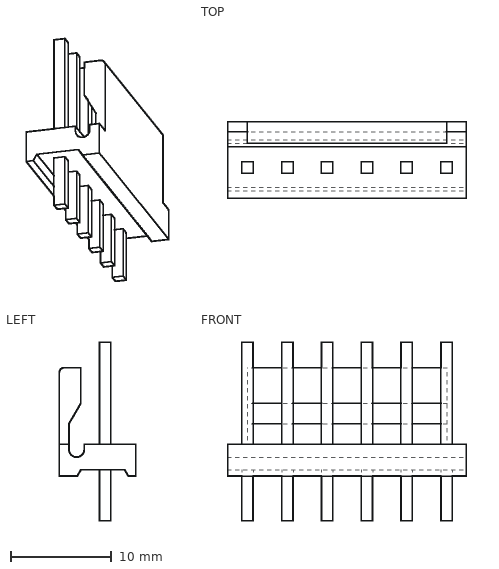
import cadquery as cq

PIN_COUNT = 6
PIN_PITCH = 3.9617
PIN_SIDE = 1.143
PIN_ABOVE_BASE = 10.16
PIN_BELOW_BASE = 4.445

BASE_LENGTH = PIN_COUNT * PIN_PITCH
BASE_DEPTH = 7.62
BASE_HEIGHT = 3.175
PINS_TO_BACK = 4.572
BACK_Y = PINS_TO_BACK
FRONT_Y = BACK_Y - BASE_DEPTH

RECESS_HEIGHT = 0.635
BACK_FOOT_WIDTH = 1.8
FRONT_FOOT_WIDTH = 0.75
FOOT_SLOPE_WIDTH = 0.37

WALL_LENGTH = BASE_LENGTH - PIN_PITCH
WALL_HEIGHT = 7.62
WALL_STEM_THICKNESS = 0.98
WALL_HEAD_THICKNESS = 2.159
WALL_STEM_HEIGHT = 2.032
WALL_HEAD_START = 4.064
WALL_EDGE_RADIUS = 0.5

GROOVE_WIDTH = 1.5
GROOVE_DEPTH = 1.27


def extrude_along_x(profile, length):
    """Extrude a closed YZ profile to a body centred on X = 0."""
    return profile.close().extrude(length / 2, both=True)


def make_base():
    outline = (
        cq.Workplane("YZ")
        .moveTo(FRONT_Y, 0)
        .lineTo(FRONT_Y + FRONT_FOOT_WIDTH, 0)
        .lineTo(FRONT_Y + FRONT_FOOT_WIDTH + FOOT_SLOPE_WIDTH, RECESS_HEIGHT)
        .lineTo(BACK_Y - BACK_FOOT_WIDTH - FOOT_SLOPE_WIDTH, RECESS_HEIGHT)
        .lineTo(BACK_Y - BACK_FOOT_WIDTH, 0)
        .lineTo(BACK_Y, 0)
        .lineTo(BACK_Y, BASE_HEIGHT)
        .lineTo(FRONT_Y, BASE_HEIGHT)
    )
    return extrude_along_x(outline, BASE_LENGTH)


def make_groove():
    radius = GROOVE_WIDTH / 2
    back_y = BACK_Y - WALL_STEM_THICKNESS
    front_y = back_y - GROOVE_WIDTH
    floor_z = BASE_HEIGHT - GROOVE_DEPTH
    outline = (
        cq.Workplane("YZ")
        .moveTo(front_y, BASE_HEIGHT)
        .lineTo(front_y, floor_z + radius)
        .threePointArc((back_y - radius, floor_z), (back_y, floor_z + radius))
        .lineTo(back_y, BASE_HEIGHT)
    )
    return extrude_along_x(outline, BASE_LENGTH)


def make_wall():
    stem_y = BACK_Y - WALL_STEM_THICKNESS
    head_y = BACK_Y - WALL_HEAD_THICKNESS
    outline = (
        cq.Workplane("YZ")
        .moveTo(BACK_Y, BASE_HEIGHT)
        .lineTo(stem_y, BASE_HEIGHT)
        .lineTo(stem_y, BASE_HEIGHT + WALL_STEM_HEIGHT)
        .lineTo(head_y, BASE_HEIGHT + WALL_HEAD_START)
        .lineTo(head_y, BASE_HEIGHT + WALL_HEIGHT)
        .lineTo(BACK_Y, BASE_HEIGHT + WALL_HEIGHT)
    )
    wall = extrude_along_x(outline, WALL_LENGTH)
    return wall.edges(">Z and >Y").fillet(WALL_EDGE_RADIUS)


def make_pins():
    pin_length = PIN_BELOW_BASE + BASE_HEIGHT + PIN_ABOVE_BASE
    return (
        cq.Workplane("XY")
        .workplane(offset=-PIN_BELOW_BASE)
        .rarray(PIN_PITCH, 1, PIN_COUNT, 1)
        .rect(PIN_SIDE, PIN_SIDE)
        .extrude(pin_length)
    )


result = make_base().cut(make_groove()).union(make_wall()).union(make_pins())